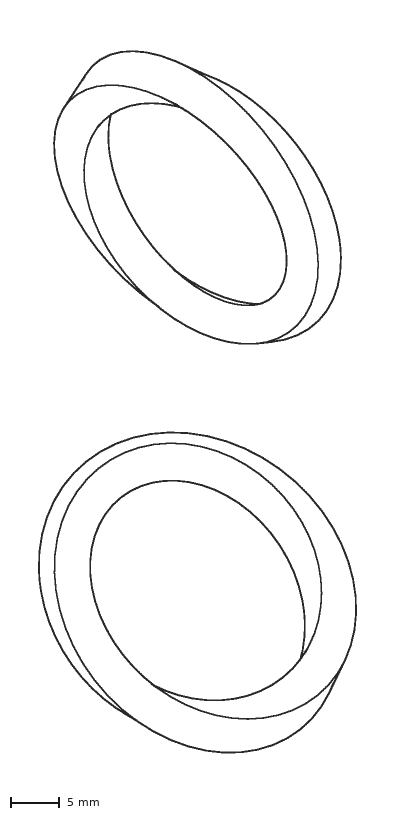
import cadquery as cq
import math

section_side = 4.0
outer_height = 35.6
half_ring_twist = math.pi / 2
half_ring_sweep = math.pi
corner_count = 4
points_per_edge = 33

corner_reach = section_side / math.sqrt(2)
ring_radius = outer_height / 2 - corner_reach
corner_step = 2 * math.pi / corner_count


def corner_point(corner, half, fraction):
    """Point on one corner curve, at a fraction of the way along a half ring."""
    sweep = (half + fraction) * half_ring_sweep
    turn = (corner + 0.5) * corner_step + (half + fraction) * half_ring_twist
    radius = ring_radius + corner_reach * math.cos(turn)
    return cq.Vector(
        -radius * math.cos(sweep),
        -corner_reach * math.sin(turn),
        radius * math.sin(sweep),
    )


def corner_edge(corner, half):
    """Smooth curve followed by one corner of the section along a half ring."""
    fractions = [i / (points_per_edge - 1) for i in range(points_per_edge)]
    points = [corner_point(corner, half, fraction) for fraction in fractions]
    return cq.Edge.makeSpline(points, parameters=fractions)


def half_ring_faces(half):
    """Four twisted faces, each ruled between neighbouring corner curves."""
    edges = [corner_edge(corner, half) for corner in range(corner_count)]
    return [
        cq.Face.makeRuledSurface(edges[corner], edges[(corner + 1) % corner_count])
        for corner in range(corner_count)
    ]


ring_faces = half_ring_faces(0) + half_ring_faces(1)
ring_shell = cq.Shell.makeShell(ring_faces)
result = cq.Workplane("XY").newObject([cq.Solid.makeSolid(ring_shell)])